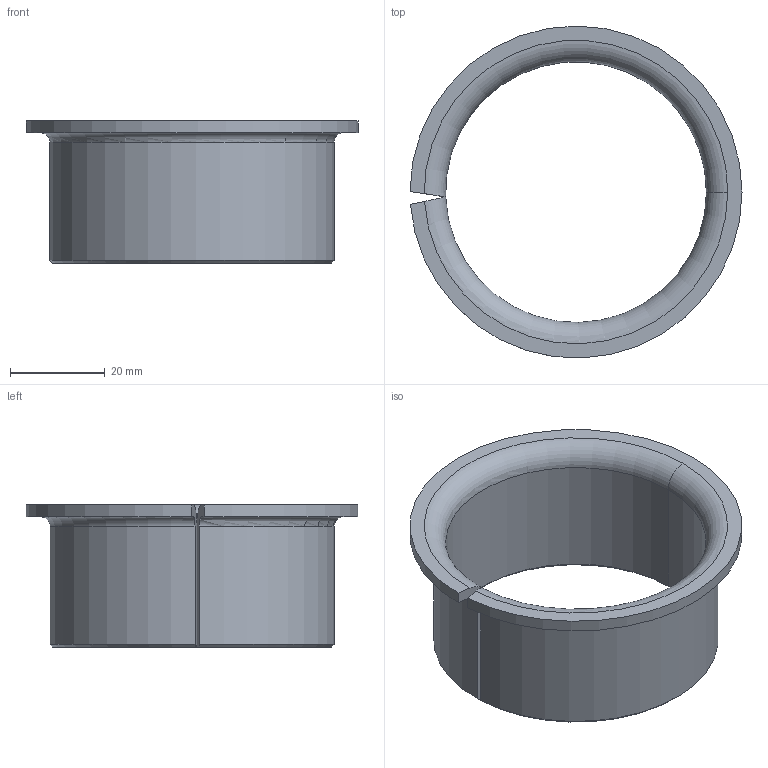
import cadquery as cq
import math

height = 30.0
flange_radius = 35.0
sleeve_radius = 30.0
wall = 2.5
bend_radius = 2.0
end_chamfer = 0.6

split_tip_y = -1.0
split_tip_clearance = 0.1
split_upper_y = 0.1
split_lower_y = -2.6

bore_radius = sleeve_radius - wall
mouth_radius = bend_radius + wall
bend_center_r = sleeve_radius + bend_radius
bend_center_z = height - mouth_radius
diagonal = math.sqrt(0.5)


def bend_midpoint(radius):
    """Middle of the quarter-circle bend of the given radius, as (r, z)."""
    return (bend_center_r - radius * diagonal, bend_center_z + radius * diagonal)


def make_flanged_sleeve():
    """Revolve the constant-thickness wall section about Z."""
    section = (
        cq.Workplane("XZ")
        .moveTo(bore_radius, end_chamfer)
        .lineTo(bore_radius + end_chamfer, 0)
        .lineTo(sleeve_radius - end_chamfer, 0)
        .lineTo(sleeve_radius, end_chamfer)
        .lineTo(sleeve_radius, bend_center_z)
        .threePointArc(bend_midpoint(bend_radius), (bend_center_r, height - wall))
        .lineTo(flange_radius, height - wall)
        .lineTo(flange_radius, height)
        .lineTo(bend_center_r, height)
        .threePointArc(bend_midpoint(mouth_radius), (bore_radius, bend_center_z))
        .close()
    )
    return section.revolve(360, (0, 0, 0), (0, 1, 0))


def make_split_wedge():
    """Full-height wedge: tip just inside the bore, sides through the rim points and on past the rim."""
    tip_radius = bore_radius - split_tip_clearance
    tip_x = -math.sqrt(tip_radius**2 - split_tip_y**2)
    overshoot = 1.2

    def side_end(rim_y):
        rim_x = -math.sqrt(flange_radius**2 - rim_y**2)
        return (tip_x + overshoot * (rim_x - tip_x), split_tip_y + overshoot * (rim_y - split_tip_y))

    corners = [(tip_x, split_tip_y), side_end(split_upper_y), side_end(split_lower_y)]
    return cq.Workplane("XY").polyline(corners).close().extrude(height)


result = make_flanged_sleeve().cut(make_split_wedge())